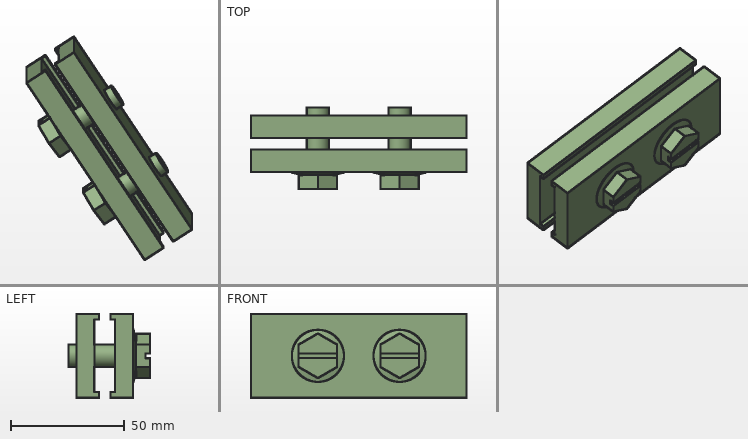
import cadquery as cq
import math

plate_length = 95.0
plate_height = 37.0
plate_depth = 10.0
lip_depth = 2.0
lip_height = 2.6
plate_gap = 5.0

bolt_spacing = 36.0
shank_diameter = 10.0
shank_protrusion = 3.5
flange_diameter = 23.0
flange_top_diameter = 13.0
flange_rim_thickness = 0.2
flange_thickness = 1.3
head_across_flats = 17.0
head_height = 6.2
slot_width = 2.0
slot_depth = 2.0

plate_inner_y = plate_gap / 2
plate_outer_y = plate_inner_y + plate_depth
shank_end_y = plate_outer_y + shank_protrusion
head_base_y = -plate_outer_y - flange_thickness
bolt_xs = [-bolt_spacing / 2, bolt_spacing / 2]


def cylinder_along_y(diameter, x, start_y, end_y):
    """Cylinder centred on z = 0, running in +Y from start_y to end_y."""
    start = cq.Vector(x, start_y, 0)
    solid = cq.Solid.makeCylinder(diameter / 2, end_y - start_y, start, cq.Vector(0, 1, 0))
    return cq.Workplane(obj=solid)


def make_plate(side):
    """Plate on the +Y (side = 1) or -Y (side = -1) half, its lips facing the gap."""
    plate = cq.Workplane().box(plate_length, plate_depth, plate_height)
    plate = plate.translate((0, side * (plate_inner_y + plate_depth / 2), 0))

    channel = cq.Workplane().box(plate_length, lip_depth, plate_height - 2 * lip_height)
    plate = plate.cut(channel.translate((0, side * (plate_inner_y + lip_depth / 2), 0)))

    for x in bolt_xs:
        plate = plate.cut(cylinder_along_y(shank_diameter, x, -shank_end_y, shank_end_y))
    return plate


def make_bolt(x):
    """Slotted hex bolt with a conical flange seated on the front plate."""
    shank = cylinder_along_y(shank_diameter, x, -plate_outer_y, shank_end_y)

    cone_base_y = -plate_outer_y - flange_rim_thickness
    rim = cylinder_along_y(flange_diameter, x, cone_base_y, -plate_outer_y)
    cone = cq.Workplane(obj=cq.Solid.makeCone(
        flange_diameter / 2, flange_top_diameter / 2, flange_thickness - flange_rim_thickness,
        cq.Vector(x, cone_base_y, 0), cq.Vector(0, -1, 0),
    ))

    across_corners = head_across_flats / math.cos(math.pi / 6)
    head = (
        cq.Workplane("XZ")
        .polygon(6, across_corners)
        .extrude(head_height)
        .rotate((0, 0, 0), (0, 1, 0), 90)
        .translate((x, head_base_y, 0))
    )

    slot_y = head_base_y - head_height + slot_depth / 2
    slot = cq.Workplane().box(across_corners, slot_depth, slot_width).translate((x, slot_y, 0))
    return shank.union(rim).union(cone).union(head).cut(slot)


rear_plate = make_plate(1)
front_plate = make_plate(-1)
bolts = [make_bolt(x) for x in bolt_xs]

result = cq.Compound.makeCompound(
    [rear_plate.val(), front_plate.val(), *[bolt.val() for bolt in bolts]]
)